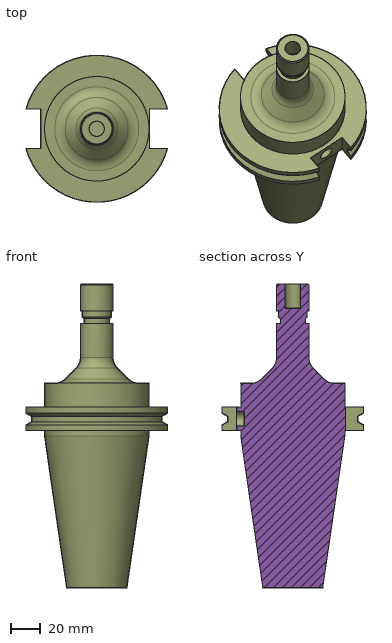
import cadquery as cq
import math

collar_radius = 35.0
taper_top_z = 101.4
taper_ratio = 7 / 24
shank_end_radius = collar_radius - taper_top_z * taper_ratio / 2

flange_radius = 49.2
flange_bottom_z = 105.0
flange_height = 15.8
flange_top_z = flange_bottom_z + flange_height
groove_radius = 45.5
groove_centre_z = 112.8
groove_floor_width = 3.7
groove_flank_height = (flange_radius - groove_radius) * math.tan(math.radians(30))
groove_floor_bottom_z = groove_centre_z - groove_floor_width / 2
groove_floor_top_z = groove_centre_z + groove_floor_width / 2

slot_width = 26.2
slot_floor_minus_x = 37.5
slot_floor_plus_x = 35.4

collar_top_z = 136.8
neck_foot_radius = 28.0
blend_radius = 10.0
blend_side = blend_radius * math.sin(math.radians(45))
blend_rise = blend_radius - blend_side
spindle_radius = 11.0
cone_bottom_radius = neck_foot_radius - blend_side
cone_bottom_z = collar_top_z + blend_rise
cone_top_radius = spindle_radius + blend_rise
cone_top_z = cone_bottom_z + cone_bottom_radius - cone_top_radius
spindle_bottom_z = cone_top_z + blend_side

spindle_top_z = 176.8
relief_radius = 8.5
shoulder_radius = 9.8
shoulder_chamfer = shoulder_radius - relief_radius
shoulder_bottom_z = 179.8
head_bottom_z = 185.1
top_z = 203.2
head_chamfer = 0.8

head_bore_diameter = 10.2
head_bore_depth = 16.3
side_hole_diameter = 9.5
side_hole_depth = 5.0
side_hole_z = flange_bottom_z + flange_height / 2


def turned_body():
    """Revolve the half profile, drawn as (radius, height), about Z."""
    lower_arc_mid = (
        neck_foot_radius - blend_radius * math.sin(math.radians(22.5)),
        collar_top_z + blend_radius * (1 - math.cos(math.radians(22.5))),
    )
    upper_arc_mid = (
        spindle_radius + blend_radius * (1 - math.cos(math.radians(22.5))),
        spindle_bottom_z - blend_radius * math.sin(math.radians(22.5)),
    )
    profile = (
        cq.Workplane("XZ")
        .lineTo(shank_end_radius, 0)
        .lineTo(collar_radius, taper_top_z)
        .lineTo(collar_radius, flange_bottom_z)
        .lineTo(flange_radius, flange_bottom_z)
        .lineTo(flange_radius, groove_floor_bottom_z - groove_flank_height)
        .lineTo(groove_radius, groove_floor_bottom_z)
        .lineTo(groove_radius, groove_floor_top_z)
        .lineTo(flange_radius, groove_floor_top_z + groove_flank_height)
        .lineTo(flange_radius, flange_top_z)
        .lineTo(collar_radius, flange_top_z)
        .lineTo(collar_radius, collar_top_z)
        .lineTo(neck_foot_radius, collar_top_z)
        .threePointArc(lower_arc_mid, (cone_bottom_radius, cone_bottom_z))
        .lineTo(cone_top_radius, cone_top_z)
        .threePointArc(upper_arc_mid, (spindle_radius, spindle_bottom_z))
        .lineTo(spindle_radius, spindle_top_z)
        .lineTo(relief_radius, spindle_top_z)
        .lineTo(relief_radius, shoulder_bottom_z)
        .lineTo(shoulder_radius, shoulder_bottom_z + shoulder_chamfer)
        .lineTo(shoulder_radius, head_bottom_z)
        .lineTo(spindle_radius, head_bottom_z)
        .lineTo(spindle_radius, top_z - head_chamfer)
        .lineTo(spindle_radius - head_chamfer, top_z)
        .lineTo(0, top_z)
        .close()
    )
    return profile.revolve(360, (0, 0, 0), (0, 1, 0))


def drive_slot(floor_distance, side):
    """Cutter for one slot; side is -1 for -X and +1 for +X."""
    length = flange_radius
    return (
        cq.Workplane("XY")
        .box(length, slot_width, flange_height, centered=(True, True, False))
        .translate((side * (floor_distance + length / 2), 0, flange_bottom_z))
    )


def head_bore():
    return (
        cq.Workplane("XY", origin=(0, 0, top_z))
        .circle(head_bore_diameter / 2)
        .extrude(-head_bore_depth)
    )


def side_hole():
    """Cutter for the hole running in +X from the -X slot floor."""
    return (
        cq.Workplane("YZ", origin=(-slot_floor_minus_x, 0, side_hole_z))
        .circle(side_hole_diameter / 2)
        .extrude(side_hole_depth)
    )


result = (
    turned_body()
    .cut(drive_slot(slot_floor_minus_x, -1))
    .cut(drive_slot(slot_floor_plus_x, 1))
    .cut(head_bore())
    .cut(side_hole())
)